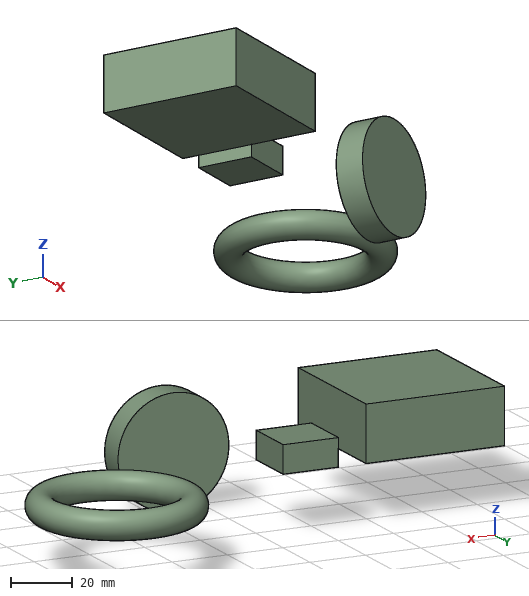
import cadquery as cq

overall_length = 175.0
overall_depth = 90.3

disc_diameter = 40.0
disc_thickness = 10.0
disc_center_x = 100.0

block_side = 50.0
block_height = disc_diameter / 2

small_block_side = 20.0
small_block_height = small_block_side / 2
small_block_left = 60.0

ring_outer_diameter = 59.7
ring_tube_diameter = 10.0
ring_tube_radius = ring_tube_diameter / 2
ring_path_radius = ring_outer_diameter / 2 - ring_tube_radius
ring_center_x = overall_length - ring_outer_diameter / 2
ring_center_y = overall_depth - ring_outer_diameter / 2


def make_block():
    return cq.Workplane("XY").box(block_side, block_side, block_height, centered=False)


def make_small_block():
    return (
        cq.Workplane("XY")
        .box(small_block_side, small_block_side, small_block_height, centered=False)
        .translate((small_block_left, block_side - small_block_side, 0))
    )


def make_disc():
    return (
        cq.Workplane("XZ")
        .center(disc_center_x, 0)
        .circle(disc_diameter / 2)
        .extrude(-disc_thickness)
    )


def make_ring():
    ring = cq.Solid.makeTorus(ring_path_radius, ring_tube_radius)
    return ring.translate(cq.Vector(ring_center_x, ring_center_y, 0))


block = make_block()
small_block = make_small_block()
disc = make_disc()
ring = make_ring()

result = cq.Compound.makeCompound([block.val(), small_block.val(), disc.val(), ring])